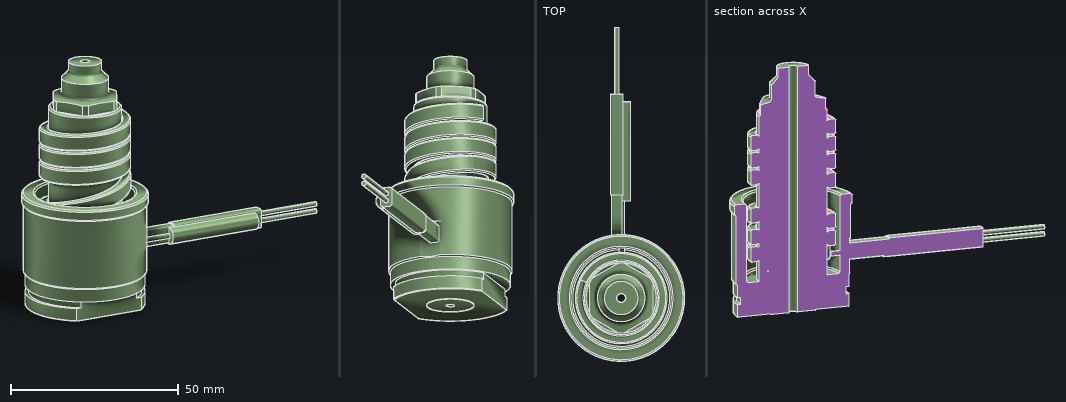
import cadquery as cq
import math

TOTAL_HEIGHT = 76.2
BORE_RADIUS = 1.3

BOSS_RADIUS = 7.1
BOSS_HEIGHT = 0.2
BASE_RADIUS = 18
BASE_CHAMFER = 0.2
GROOVE_RADIUS = 17
GROOVE_BOTTOM = 4.2
GROOVE_TOP = 6.3
FLAT_DISTANCE = 14

CUP_BOTTOM = 10.2
CUP_TOP = 35.2
CUP_RADIUS = 18.5
CUP_INNER_RADIUS = 15
CUP_EDGE = 0.5
RIM_RADIUS = 19
RIM_BOTTOM = 31.7
RELIEF_TOP = 21.2
RELIEF_DISTANCE = 18.2

CORE_RADIUS = 11
CORE_TOP = 62.3
CORE_CHAMFER = 0.5
HEX_ACROSS_FLATS = 19
HEX_CORNER_RADIUS = 10.5
HEX_TOP = 65.4
SHOULDER_RADIUS = 7.1
SHOULDER_BOTTOM = 66.1
SHOULDER_TOP = 71.1
TIP_RADIUS = 5
TIP_BOTTOM = 73.2
NOZZLE_FILLET = 0.8

COIL_RADIUS = 13.7
COIL_OVERLAP = 0.2
COIL_HEIGHT = 4.8
COIL_CHAMFER = 0.4
COIL_GAP = 0.55
COIL_END_ANGLE = 156
COIL_END_TOP = 59.8
CLOSE_PITCH = COIL_HEIGHT + COIL_GAP
EASING_PITCH = 9.5
STEEP_PITCH = 19
JOINT_TOLERANCE = 0.001
COIL_STRETCHES = [
    (CLOSE_PITCH, 3 * 360 + 15),
    (EASING_PITCH, 90),
    (STEEP_PITCH, 150),
    (EASING_PITCH, 90),
    (CLOSE_PITCH, 2 * 360 + 66),
]

CABLE_X = -1.3
CABLE_Z = 17.3
CABLE_WIDTH = 3.2
CABLE_DEPTH = 5.3
CABLE_FILLET = 0.6
SLEEVE_WIDTH = 3.8
SLEEVE_DEPTH = 6
SLEEVE_FILLET = 1
SLEEVE_START = 30.8
SLEEVE_END = 61
WIRE_RADIUS = 0.7
WIRE_SPACING = 2.2
WIRE_END = 81
TUBE_X = 0.2
TUBE_Z = 17
TUBE_RADIUS = 2.6
TUBE_START = 29
TUBE_END = 58.8
LEAD_RADIUS = 0.8
LEAD_START = 12


def disc(radius, bottom, top):
    return cq.Workplane("XY", origin=(0, 0, bottom)).circle(radius).extrude(top - bottom)


def make_base():
    """Grooved foot with two opposite flats and a thin centre boss underneath."""
    foot = disc(BASE_RADIUS, BOSS_HEIGHT, GROOVE_BOTTOM).faces("<Z").chamfer(BASE_CHAMFER)
    foot = foot.union(disc(GROOVE_RADIUS, GROOVE_BOTTOM, GROOVE_TOP))
    slab = cq.Workplane("XY").box(
        2 * FLAT_DISTANCE, 2 * BASE_RADIUS, GROOVE_TOP, centered=(True, True, False)
    )
    foot = foot.intersect(slab)
    foot = foot.union(disc(BOSS_RADIUS, 0, GROOVE_BOTTOM))
    return foot.union(disc(BASE_RADIUS, GROOVE_TOP, CUP_BOTTOM))


def make_cup():
    """Open cup with a rim and a shallow flat below the cable entry."""
    cup = disc(CUP_RADIUS, CUP_BOTTOM, RIM_BOTTOM).faces("<Z").chamfer(CUP_EDGE)
    relief = cq.Workplane("XY", origin=(0, RELIEF_DISTANCE, CUP_BOTTOM)).box(
        2 * CUP_RADIUS, CUP_RADIUS, RELIEF_TOP - CUP_BOTTOM, centered=(True, False, False)
    )
    cup = cup.cut(relief)
    cup = cup.union(disc(RIM_RADIUS, RIM_BOTTOM, CUP_TOP).faces("<Z or >Z").chamfer(CUP_EDGE))
    pocket = disc(CUP_INNER_RADIUS, CUP_BOTTOM + CUP_EDGE, CUP_TOP).faces("<Z").chamfer(CUP_EDGE)
    cup = cup.cut(pocket)
    return cup.faces(">Z").edges(cq.selectors.RadiusNthSelector(0)).chamfer(CUP_EDGE)


def make_core():
    """Cylinder inside the coil, a hexagon with a conical top, and the stepped tip."""
    core = disc(CORE_RADIUS, CUP_BOTTOM, CORE_TOP).faces(">Z").chamfer(CORE_CHAMFER)
    across_corners = HEX_ACROSS_FLATS / math.cos(math.pi / 6)
    hexagon = (
        cq.Workplane("XY", origin=(0, 0, CORE_TOP))
        .transformed(rotate=(0, 0, 90))
        .polygon(6, across_corners)
        .extrude(TOTAL_HEIGHT - CORE_TOP)
    )
    nozzle = (
        cq.Workplane("XZ")
        .moveTo(0, CORE_TOP)
        .lineTo(HEX_CORNER_RADIUS, CORE_TOP)
        .lineTo(HEX_CORNER_RADIUS, HEX_TOP)
        .lineTo(SHOULDER_RADIUS, SHOULDER_BOTTOM)
        .lineTo(SHOULDER_RADIUS, SHOULDER_TOP)
        .lineTo(TIP_RADIUS, TIP_BOTTOM)
        .lineTo(TIP_RADIUS, TOTAL_HEIGHT)
        .lineTo(0, TOTAL_HEIGHT)
        .close()
        .revolve()
    )
    for corner_height in (SHOULDER_BOTTOM, TIP_BOTTOM):
        corner = cq.selectors.NearestToPointSelector((0, 0, corner_height))
        nozzle = nozzle.edges(corner).fillet(NOZZLE_FILLET)
    return core.union(nozzle.intersect(hexagon))


def make_coil_stretch(pitch, sweep, top_angle, top):
    """Right-handed turns whose upper end has its top edge at the given angle and height."""
    drop = pitch * sweep / 360
    inner = CORE_RADIUS - COIL_OVERLAP
    inner_chamfer = COIL_CHAMFER + COIL_OVERLAP
    path = cq.Wire.makeHelix(pitch, drop, inner)
    coil = (
        cq.Workplane("XZ")
        .moveTo(inner, inner_chamfer - COIL_HEIGHT)
        .lineTo(inner + inner_chamfer, -COIL_HEIGHT)
        .lineTo(COIL_RADIUS - COIL_CHAMFER, -COIL_HEIGHT)
        .lineTo(COIL_RADIUS, COIL_CHAMFER - COIL_HEIGHT)
        .lineTo(COIL_RADIUS, -COIL_CHAMFER)
        .lineTo(COIL_RADIUS - COIL_CHAMFER, 0)
        .lineTo(inner + inner_chamfer, 0)
        .lineTo(inner, -inner_chamfer)
        .close()
        .sweep(cq.Workplane(path), isFrenet=True)
    )
    return coil.rotate((0, 0, 0), (0, 0, 1), top_angle - sweep).translate((0, 0, top - drop))


def make_coil():
    """The whole coil, each stretch starting where the one above it ends."""
    angle = COIL_END_ANGLE
    top = COIL_END_TOP
    coil = cq.Workplane()
    for pitch, sweep in COIL_STRETCHES:
        stretch = make_coil_stretch(pitch, sweep, angle, top)
        coil = coil.union(stretch, tol=JOINT_TOLERANCE) if coil.vals() else stretch
        angle -= sweep
        top -= pitch * sweep / 360
    return coil


def along_y(x, z, start):
    """Workplane facing +Y, centred on a line parallel to Y."""
    return cq.Workplane("XZ", origin=(x, start, z))


def make_cable():
    """Flat cable and its sleeve, two wires, and a lead in a round tube beside them."""
    cable_start = CUP_INNER_RADIUS + CUP_EDGE
    cable = along_y(CABLE_X, CABLE_Z, cable_start).rect(CABLE_WIDTH, CABLE_DEPTH)
    cable = cable.extrude(cable_start - SLEEVE_END).edges("|Y").fillet(CABLE_FILLET)
    sleeve = along_y(CABLE_X, CABLE_Z, SLEEVE_START).rect(SLEEVE_WIDTH, SLEEVE_DEPTH)
    sleeve = sleeve.extrude(SLEEVE_START - SLEEVE_END).edges("|Y").fillet(SLEEVE_FILLET)
    wires = along_y(CABLE_X, CABLE_Z, SLEEVE_START).rarray(1, WIRE_SPACING, 1, 2).circle(WIRE_RADIUS)
    wires = wires.extrude(SLEEVE_START - WIRE_END)
    tube = along_y(TUBE_X, TUBE_Z, TUBE_START).circle(TUBE_RADIUS).extrude(TUBE_START - TUBE_END)
    lead = along_y(TUBE_X, TUBE_Z, LEAD_START).circle(LEAD_RADIUS).extrude(LEAD_START - TUBE_END)
    return cable.union(sleeve).union(wires).union(tube).union(lead)


result = make_base().union(make_cup()).union(make_core())
result = result.union(make_coil(), tol=JOINT_TOLERANCE).union(make_cable())
result = result.cut(disc(BORE_RADIUS, 0, TOTAL_HEIGHT))